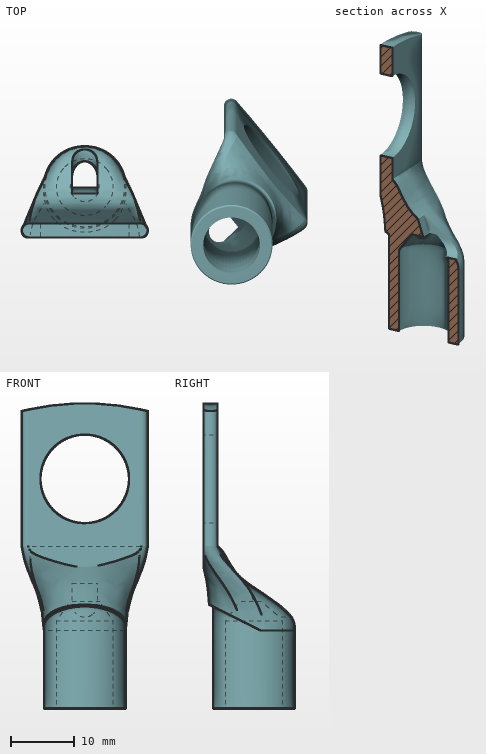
import cadquery as cq
import math


barrel_diameter = 13.0
barrel_radius = barrel_diameter / 2
barrel_height = 12.5
mouth_chamfer = 0.2

palm_width = 20.0
palm_thickness = 2.25
palm_front_y = -8.0
palm_back_y = palm_front_y + palm_thickness
palm_mid_y = palm_front_y + palm_thickness / 2
palm_flat_half = (palm_width - palm_thickness) / 2
palm_base_z = 25.8
total_height = 48.49
palm_corner_z = 47.25
bolt_hole_diameter = 14.0
bolt_hole_z = 36.5

shoulder_start_y = 1.0
shoulder_angle = math.radians(26.7)

bore_diameter = 9.0
bore_depth = 14.0
taper_end_radius = 2.3
taper_end_z = 17.1

window_width = 4.0
window_bottom_z = 14.6
window_top_z = 24.0
window_sill_outer = (-1.0, 19.9)
window_sill_inner = (0.05, 16.8)

trim_reach = 2 * total_height

transition_sections = [
    dict(z=barrel_height, back_y=barrel_radius, back_corner=(6.25, 1.8), half_width=6.52,
         front_corner=(6.3, -1.6), front_y=-6.9),
    dict(z=14.2, back_y=6.17, back_corner=(6.4, 1.45), half_width=6.65,
         front_corner=(6.4, -2.1), front_y=-7.0),
    dict(z=16.0, back_y=4.8, back_corner=(6.7, 0.8), half_width=6.9,
         front_corner=(6.6, -2.8), front_y=-7.1),
    dict(z=19.5, back_y=-0.3, back_corner=(7.6, -1.1), half_width=8.0,
         front_corner=(7.7, -4.7), front_y=-7.4),
    dict(z=22.5, back_y=-3.5, back_corner=(8.4, -3.7), half_width=9.2,
         front_corner=(8.5, -6.8), front_y=-8.0),
    dict(z=palm_base_z, back_y=palm_back_y, back_corner=(palm_flat_half, palm_back_y),
         half_width=palm_width / 2, front_corner=(palm_flat_half, palm_front_y), front_y=-9.3),
]


def section_wire(z, back_y, back_corner, half_width, front_corner, front_y):
    """Closed outline of one transition section: back, right, front and left stretches."""
    back_x, back_corner_y = back_corner
    front_x, front_corner_y = front_corner
    side_y = (back_corner_y + front_corner_y) / 2
    outline = cq.Workplane("XY", origin=(0, 0, z)).moveTo(-back_x, back_corner_y)
    if back_y == back_corner_y:
        outline = outline.lineTo(back_x, back_corner_y)
    else:
        outline = outline.threePointArc((0, back_y), (back_x, back_corner_y))
    outline = outline.threePointArc((half_width, side_y), (front_x, front_corner_y))
    outline = outline.threePointArc((0, front_y), (-front_x, front_corner_y))
    outline = outline.threePointArc((-half_width, side_y), (-back_x, back_corner_y))
    return outline.close().val()


def shoulder_block(above):
    """Large block whose lower face (above=True) or upper face (above=False) is the shoulder."""
    far_front_z = barrel_height + (shoulder_start_y + trim_reach) * math.tan(shoulder_angle)
    far_z = barrel_height + (trim_reach if above else -trim_reach)
    return (
        cq.Workplane("YZ")
        .polyline([
            (trim_reach, barrel_height),
            (shoulder_start_y, barrel_height),
            (-trim_reach, far_front_z),
            (-trim_reach, far_z),
            (trim_reach, far_z),
        ])
        .close()
        .extrude(trim_reach, both=True)
    )


def make_barrel():
    """Barrel, carried up inside the transition to fill the space under the shoulder."""
    shoulder_front_z = barrel_height + (shoulder_start_y + barrel_radius) * math.tan(shoulder_angle)
    barrel = cq.Workplane("XY").circle(barrel_radius).extrude(shoulder_front_z)
    barrel = barrel.faces("<Z").edges().chamfer(mouth_chamfer)
    return barrel.cut(shoulder_block(above=True))


def make_transition():
    """Loft from barrel to palm, trimmed to the shoulder and to the front plane of the palm."""
    wires = [section_wire(**section) for section in transition_sections]
    loft = cq.Workplane(cq.Solid.makeLoft(wires, False))
    front_trim = cq.Workplane("XZ", origin=(0, palm_front_y, 0))
    front_trim = front_trim.rect(2 * trim_reach, 2 * trim_reach).extrude(trim_reach)
    return loft.cut(shoulder_block(above=False)).cut(front_trim)


def make_palm():
    """Plate with fully rounded long sides, an arched top and a bolt hole."""
    plate = (
        cq.Workplane("XY", origin=(0, palm_mid_y, palm_base_z))
        .slot2D(palm_width, palm_thickness)
        .extrude(total_height - palm_base_z)
    )
    half_width = palm_width / 2
    face_outline = (
        cq.Workplane("XZ")
        .moveTo(-half_width, palm_base_z)
        .lineTo(half_width, palm_base_z)
        .lineTo(half_width, palm_corner_z)
        .threePointArc((0, total_height), (-half_width, palm_corner_z))
        .close()
        .extrude(trim_reach, both=True)
    )
    bolt_hole = (
        cq.Workplane("XZ")
        .center(0, bolt_hole_z)
        .circle(bolt_hole_diameter / 2)
        .extrude(trim_reach, both=True)
    )
    return plate.intersect(face_outline).cut(bolt_hole)


def make_bore():
    """Blind bore from the barrel mouth, ending in a blunt taper."""
    bore_radius = bore_diameter / 2
    return (
        cq.Workplane("XZ")
        .polyline([
            (0, 0),
            (bore_radius, 0),
            (bore_radius, bore_depth),
            (taper_end_radius, taper_end_z),
            (0, taper_end_z),
        ])
        .close()
        .revolve(360, (0, 0), (0, 1))
    )


def make_window():
    """Window with a round lower end and a sloping sill, opening toward the back into the bore."""
    half_width = window_width / 2
    spring_z = window_bottom_z + half_width
    opening = (
        cq.Workplane("XZ")
        .moveTo(-half_width, window_top_z)
        .lineTo(-half_width, spring_z)
        .threePointArc((0, window_bottom_z), (half_width, spring_z))
        .lineTo(half_width, window_top_z)
        .close()
        .extrude(trim_reach, both=True)
    )
    sill_inner_y = window_sill_inner[0]
    sill_outer_y = window_sill_outer[0]
    depth_profile = (
        cq.Workplane("YZ")
        .polyline([
            (sill_inner_y, window_bottom_z),
            window_sill_inner,
            window_sill_outer,
            (sill_outer_y, window_top_z),
            (barrel_diameter, window_top_z),
            (barrel_diameter, window_bottom_z),
        ])
        .close()
        .extrude(window_width, both=True)
    )
    return opening.intersect(depth_profile)


body = make_barrel().union(make_transition()).union(make_palm())
result = body.cut(make_bore()).cut(make_window())